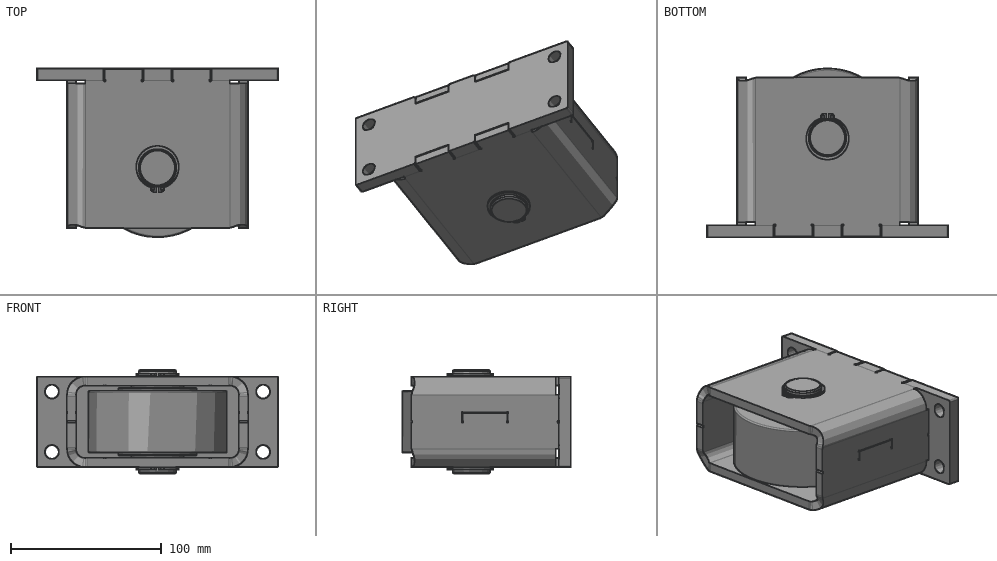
import cadquery as cq
import math

frame_width = 120.0
frame_height = 60.0
wall = 6.0
bend_outer = 12.0
bend_inner = bend_outer - wall
frame_front = -40.0

plate_length = 160.0
plate_front = 58.0
plate_thickness = 8.0
plate_back = plate_front + plate_thickness
plate_corner_radius = 1.0
mount_hole_diameter = 9.0
mount_hole_span_x = 140.0
mount_hole_span_z = 40.0

tab_width = 25.0
tab_center_x = 22.5
tab_end_gap = 0.7
tab_length = plate_thickness - tab_end_gap
tab_groove = 1.0
tab_relief_radius = 0.6

front_relief_depth = 2.3
front_relief_lead = 1.2
front_relief_lead_depth = 0.25
front_relief_run_angle = 9.0
front_relief_run_depth = 0.7
front_relief_sections = 7
back_relief_depth = 2.0
seam_groove_radius = 0.8
seam_tab_length = 30.0
seam_tab_height = 6.0
seam_slit = 0.5
seam_relief_radius = 0.5
margin = 1.0

wheel_radius = 46.0
wheel_width = 41.0
wheel_edge_radius = 1.0
hub_radius = 26.0
hub_width = 45.0
hub_chamfer = 0.5
spacer_radius = 17.5
pin_radius = 12.5
pin_length = 69.0
pin_chamfer = 1.0
ring_thickness = 1.2
ring_clearance = 0.5
ring_radius = 14.1
ring_offset = 0.5
lug_half_width = 4.6
lug_reach = 16.0
lug_corner_radius = 2.5
lug_gap = 1.6
lug_hole_radius = 1.0
lug_hole_x = 3.0
lug_hole_y = -13.8

half_width = frame_width / 2
half_height = frame_height / 2
inner_height = frame_height - 2 * wall
bend_x = half_width - bend_outer
bend_z = half_height - bend_outer
frame_length = plate_front - frame_front
frame_mid = (plate_front + frame_front) / 2


def box(x_range, y_range, z_range):
    """Box spanning the given (low, high) pairs."""
    size = [high - low for low, high in (x_range, y_range, z_range)]
    corner = (x_range[0], y_range[0], z_range[0])
    return cq.Workplane("XY").box(*size, centered=False).translate(corner)


def disk(radius, width):
    """Disk round the roller axis, centred on the middle plane."""
    return cq.Workplane("XY", origin=(0, 0, -width / 2)).circle(radius).extrude(width)


def four_corners(shape):
    """The shape for the +X +Z corner and its mirror images in the other three corners."""
    pair = [shape, shape.mirror("YZ")]
    return pair + [copy.mirror("XY") for copy in pair]


def make_tube():
    """Rectangular tube with rounded corners."""
    def profile(width, height, radius):
        block = cq.Workplane("XY").box(width, frame_length, height)
        return block.edges("|Y").fillet(radius).translate((0, frame_mid, 0))

    outside = profile(frame_width, frame_height, bend_outer)
    inside = profile(frame_width - 2 * wall, inner_height, bend_inner)
    return outside.cut(inside)


def relief_section(angle, depth):
    """Rectangle across the wall at the given angle round the bend, reaching back by the given depth."""
    corners = [
        cq.Vector(bend_x + r * math.cos(angle), y, bend_z + r * math.sin(angle))
        for r, y in [
            (bend_inner - margin, frame_front - margin),
            (bend_outer + margin, frame_front - margin),
            (bend_outer + margin, frame_front + depth),
            (bend_inner - margin, frame_front + depth),
        ]
    ]
    return cq.Wire.makePolygon(corners, close=True)


def make_front_relief():
    """Scoop in the front end of a bend: deepest halfway round, with a shallower run at both ends."""
    quarter = math.pi / 2
    scoop_start = math.radians(front_relief_run_angle)
    scoop_angle = quarter - 2 * scoop_start
    sections = []
    for index in range(front_relief_sections):
        part = index / (front_relief_sections - 1)
        rise = 4 * part * (1 - part)
        depth = front_relief_run_depth + (front_relief_depth - front_relief_run_depth) * rise
        sections.append(relief_section(scoop_start + part * scoop_angle, depth))
    first_end = relief_section(0, front_relief_lead_depth)
    last_end = relief_section(quarter, front_relief_lead_depth)
    relief = cq.Workplane(obj=cq.Solid.makeLoft(sections))
    for run in ([first_end, sections[0]], [sections[-1], last_end]):
        relief = relief.union(cq.Workplane(obj=cq.Solid.makeLoft(run, True)))
    return relief


def make_lead_ins():
    """Wedges, one per wall, that lead from the front ends of both flat walls into the scoop of the bend."""
    def wedge(bend_edge):
        return [
            (bend_edge - front_relief_lead, frame_front),
            (bend_edge, frame_front + front_relief_lead_depth),
            (bend_edge, frame_front - margin),
            (bend_edge - front_relief_lead, frame_front - margin),
        ]

    depth = wall + 2 * margin
    top = cq.Workplane("XY", origin=(0, 0, half_height - wall - margin))
    top = top.polyline(wedge(bend_x)).close().extrude(depth)
    side = cq.Workplane("YZ", origin=(half_width - wall - margin, 0, 0))
    side = side.polyline([(y, z) for z, y in wedge(bend_z)]).close().extrude(depth)
    return [top, side]


def make_back_relief():
    """Gap between the rear end of a bend and the mounting plate."""
    y_range = (plate_front - back_relief_depth, plate_front + margin)
    return box((bend_x, half_width + margin), y_range, (bend_z, half_height + margin))


def make_seam_slit():
    """Slit in the +X wall around three sides of a tab that rises from the middle seam."""
    x_range = (half_width - wall - margin, half_width + margin)
    depth = x_range[1] - x_range[0]
    y_low = frame_mid - seam_tab_length / 2
    y_high = frame_mid + seam_tab_length / 2
    outer = box(
        x_range,
        (y_low - seam_slit / 2, y_high + seam_slit / 2),
        (0, seam_tab_height + seam_slit / 2),
    )
    inner = box(
        x_range,
        (y_low + seam_slit / 2, y_high - seam_slit / 2),
        (-margin, seam_tab_height - seam_slit / 2),
    )
    ends = [(y, z) for y in (y_low, y_high) for z in (0, seam_tab_height)]
    reliefs = cq.Workplane("YZ", origin=(x_range[0], 0, 0)).pushPoints(ends)
    return outer.cut(inner).union(reliefs.circle(seam_relief_radius).extrude(depth))


def make_seam_grooves():
    """Round grooves across both ends of the +X wall, at the middle seam."""
    start = (half_width - wall - margin, 0, 0)
    ends = [(frame_front, 0), (plate_front, 0)]
    grooves = cq.Workplane("YZ", origin=start).pushPoints(ends)
    return grooves.circle(seam_groove_radius).extrude(wall + 2 * margin)


def tab_centers():
    """X position and face sign (top +1, bottom -1) of each tab."""
    return [(side * tab_center_x, face) for side in (-1, 1) for face in (-1, 1)]


def make_frame():
    """Sheet tube with its reliefs, seam details, pin bore and rear tabs."""
    frame = make_tube()
    for cut in [make_front_relief(), *make_lead_ins(), make_back_relief()]:
        for copy in four_corners(cut):
            frame = frame.cut(copy)
    for cut in (make_seam_slit(), make_seam_grooves()):
        frame = frame.cut(cut).cut(cut.mirror("YZ"))
    frame = frame.cut(disk(pin_radius, frame_height))
    for x, face in tab_centers():
        tab = cq.Workplane("XY").box(tab_width, tab_length, wall)
        tab = tab.translate((x, plate_front + tab_length / 2, face * (half_height - wall / 2)))
        frame = frame.union(tab)
    return frame


def make_tab_notch():
    """Plate notch for the top tab at X = 0, with a bevelled groove along both sides."""
    half = tab_width / 2
    outline = [
        (-half - tab_groove, half_height),
        (-half, half_height - tab_groove),
        (-half, half_height - wall),
        (half, half_height - wall),
        (half, half_height - tab_groove),
        (half + tab_groove, half_height),
    ]
    notch = cq.Workplane("XZ", origin=(0, plate_front, 0)).polyline(outline).close()
    return notch.extrude(-plate_thickness)


def make_plate():
    """Mounting plate with four holes and four tab notches."""
    plate = cq.Workplane("XY").box(plate_length, plate_thickness, frame_height)
    plate = plate.edges("|Y").fillet(plate_corner_radius)
    plate = plate.translate((0, plate_front + plate_thickness / 2, 0))
    holes = cq.Workplane("XZ", origin=(0, plate_front, 0))
    holes = holes.rect(mount_hole_span_x, mount_hole_span_z, forConstruction=True).vertices()
    plate = plate.cut(holes.circle(mount_hole_diameter / 2).extrude(-plate_thickness))
    notch = make_tab_notch()
    for x, face in tab_centers():
        copy = notch if face > 0 else notch.mirror("XY")
        plate = plate.cut(copy.translate((x, 0, 0)))
    return plate


def make_tab_reliefs():
    """Small round holes through the frame walls at the roots of the tabs."""
    roots = [
        (side * tab_center_x + end * tab_width / 2, plate_front)
        for side in (-1, 1)
        for end in (-1, 1)
    ]
    rods = cq.Workplane("XY").pushPoints(roots).circle(tab_relief_radius)
    rods = rods.extrude(half_height + margin, both=True)
    return rods.cut(cq.Workplane("XY").box(plate_length, 2 * plate_back, inner_height))


def make_housing():
    """Frame welded to the mounting plate; the joint lines between them stay as edges."""
    housing = make_frame().union(make_plate(), clean=False)
    return housing.cut(make_tab_reliefs(), clean=False).solids()


def make_retaining_ring():
    """Open ring on the upper pin end, with two drilled lugs toward -Y."""
    ring = cq.Workplane("XY").center(0, ring_offset).circle(ring_radius).extrude(ring_thickness)
    lugs = box((-lug_half_width, lug_half_width), (-lug_reach, -pin_radius + margin), (0, ring_thickness))
    lugs = lugs.edges("|Z and <Y").fillet(lug_corner_radius)
    ring = ring.union(lugs)
    gap = box((-lug_gap / 2, lug_gap / 2), (-lug_reach, 0), (0, ring_thickness))
    holes = cq.Workplane("XY").pushPoints([(-lug_hole_x, lug_hole_y), (lug_hole_x, lug_hole_y)])
    ring = ring.cut(gap).cut(holes.circle(lug_hole_radius).extrude(ring_thickness))
    return ring.translate((0, 0, half_height + ring_clearance))


def make_roller():
    """Wheel with hub and spacers on its pin, held by a retaining ring at each end."""
    roller = disk(wheel_radius, wheel_width).edges().fillet(wheel_edge_radius)
    roller = roller.union(disk(hub_radius, hub_width).edges().chamfer(hub_chamfer))
    roller = roller.union(disk(spacer_radius, inner_height))
    roller = roller.union(disk(pin_radius, pin_length).faces("<Z or >Z").chamfer(pin_chamfer))
    ring = make_retaining_ring()
    return roller.union(ring).union(ring.mirror("XY"))


housing = make_housing()
roller = make_roller()
result = cq.Compound.makeCompound([housing.val(), roller.solids().val()])